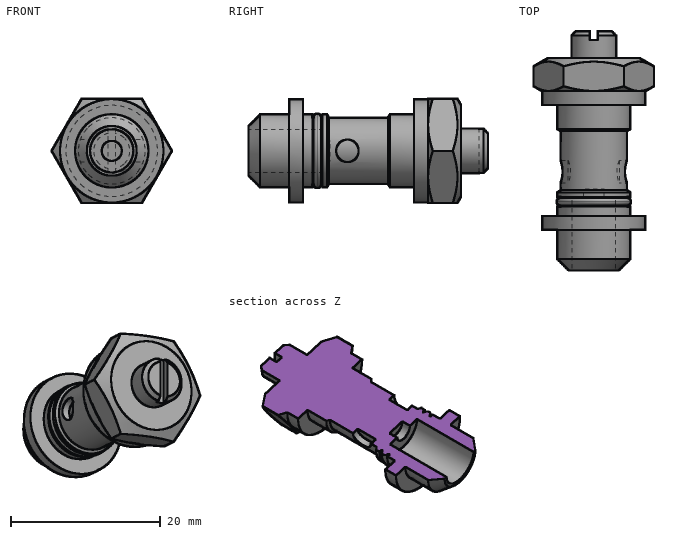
import cadquery as cq
import math

length = 32.1
shank_radius = 4.9
neck_radius = 4.45
washer_radius = 6.93
washer_thickness = 1.85

tip_chamfer = 1.57
front_washer_start = 5.45

groove_start = 8.57
groove_end = 9.88
ring_section_radius = 0.5
ring_outer_radius = 5.0

neck_start = 10.78
neck_end = 18.68
shoulder_chamfer_length = 0.3

hex_start = 24.05
hex_end = 28.5
hex_across_flats = 14.0
hex_corner_radius = hex_across_flats / math.sqrt(3)
hex_chamfer_angle = math.radians(30)
hex_rear_face_radius = 6.13

stud_radius = 3.02
stud_chamfer = 0.6
slot_width = 1.05
slot_depth = 1.2

bore_radius = 2.9
bore_depth = 9.63
pilot_radius = 1.35
pilot_depth = 1.28
port_radius = 1.5
port_station = 13.25
port_floor_radius = 3.43


def axial(station):
    """Y coordinate of a station measured from the tip."""
    return station - length / 2


def revolve_profile(points):
    """Revolve (radius, station) points about the Y axis."""
    outline = [(radius, axial(station)) for radius, station in points]
    return cq.Workplane("XY").polyline(outline).close().revolve(360, (0, 0, 0), (0, 1, 0))


def cylinder(radius, start, end):
    """Solid cylinder on the Y axis between two stations."""
    return revolve_profile([(0, start), (radius, start), (radius, end), (0, end)])


def make_shank():
    return revolve_profile([
        (0, 0),
        (shank_radius - tip_chamfer, 0),
        (shank_radius, tip_chamfer),
        (shank_radius, groove_start),
        (neck_radius, groove_start),
        (neck_radius, groove_end),
        (shank_radius, groove_end),
        (shank_radius, neck_start - shoulder_chamfer_length),
        (neck_radius, neck_start),
        (neck_radius, neck_end),
        (shank_radius, neck_end + shoulder_chamfer_length),
        (shank_radius, hex_start),
        (0, hex_start),
    ])


def make_o_ring():
    center_radius = ring_outer_radius - ring_section_radius
    center_y = axial((groove_start + groove_end) / 2)
    return (
        cq.Workplane("XY")
        .center(center_radius, center_y)
        .circle(ring_section_radius)
        .revolve(360, (-center_radius, 0, 0), (-center_radius, 1, 0))
    )


def make_hex():
    """Hexagon with corners on the X axis, both ends turned to a cone."""
    prism = (
        cq.Workplane("XZ", origin=(0, axial(hex_end), 0))
        .polygon(6, 2 * hex_corner_radius)
        .extrude(hex_end - hex_start)
    )
    slope = math.tan(hex_chamfer_angle)
    front_drop = (hex_corner_radius - washer_radius) * slope
    rear_drop = (hex_corner_radius - hex_rear_face_radius) * slope
    chamfer_envelope = revolve_profile([
        (0, hex_start),
        (washer_radius, hex_start),
        (hex_corner_radius, hex_start + front_drop),
        (hex_corner_radius, hex_end - rear_drop),
        (hex_rear_face_radius, hex_end),
        (0, hex_end),
    ])
    return prism.intersect(chamfer_envelope)


def make_stud():
    stud = revolve_profile([
        (0, hex_end),
        (stud_radius, hex_end),
        (stud_radius, length - stud_chamfer),
        (stud_radius - stud_chamfer, length),
        (0, length),
    ])
    slot = cq.Workplane("XY").box(slot_width, 2 * slot_depth, 2 * stud_radius)
    return stud.cut(slot.translate((0, axial(length), 0)))


def make_ports():
    """Ports on both X sides, ending on a cylindrical core."""
    drill = (
        cq.Workplane("YZ")
        .center(axial(port_station), 0)
        .circle(port_radius)
        .extrude(shank_radius, both=True)
    )
    return drill.cut(cylinder(port_floor_radius, neck_start, neck_end))


result = make_shank()
for washer_start in (front_washer_start, hex_start - washer_thickness):
    result = result.union(cylinder(washer_radius, washer_start, washer_start + washer_thickness))
result = result.union(make_o_ring()).union(make_hex()).union(make_stud())
result = result.cut(cylinder(bore_radius, 0, bore_depth))
result = result.cut(cylinder(pilot_radius, bore_depth, bore_depth + pilot_depth))
result = result.cut(make_ports())